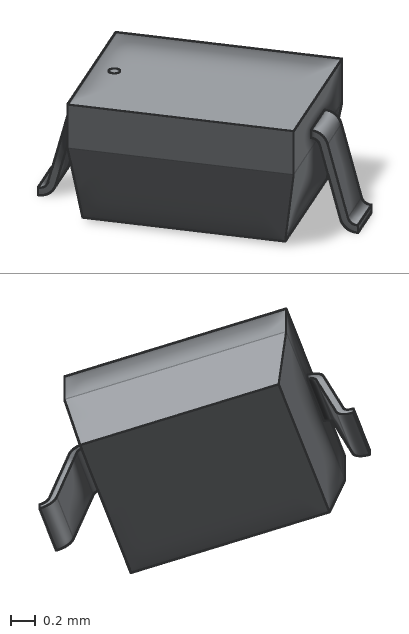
import cadquery as cq
import math

overall_length = 2.69
overall_height = 1.09

housing_length = 1.902
housing_width = 1.45
standoff = 0.048
parting_height = 0.702
taper_inset = 0.1

lead_width = 0.412
lead_thickness = 0.067
lead_top = 0.865
inner_bend_radius = 0.078
outer_bend_radius = inner_bend_radius + lead_thickness
lead_tilt = math.radians(15)

mark_diameter = 0.095
mark_depth = 0.013
mark_edge_distance = 0.19
mark_x = -housing_length / 2 + mark_edge_distance


def make_mark():
    return (
        cq.Workplane("XY", origin=(mark_x, 0, overall_height - mark_depth))
        .circle(mark_diameter / 2)
        .extrude(mark_depth)
    )


def make_housing():
    upper = (
        cq.Workplane("XY", origin=(0, 0, parting_height))
        .rect(housing_length, housing_width)
        .extrude(overall_height - parting_height)
    )
    lower = (
        cq.Workplane("XY", origin=(0, 0, standoff))
        .rect(housing_length - 2 * taper_inset, housing_width - 2 * taper_inset)
        .workplane(offset=parting_height - standoff)
        .rect(housing_length, housing_width)
        .loft(ruled=True)
    )
    return upper.union(lower).cut(make_mark())


def arc_point(center, radius, angle):
    return (center[0] + radius * math.cos(angle), center[1] + radius * math.sin(angle))


def make_lead(turn):
    """Build the lead on the -X end and turn it about Z by the given degrees."""
    tip_x = -overall_length / 2
    wall_x = -housing_length / 2

    shoulder_center = (wall_x, lead_top - outer_bend_radius)
    foot_z = outer_bend_radius
    bend_radius_sum = inner_bend_radius + outer_bend_radius
    leg_rise = shoulder_center[1] - foot_z + bend_radius_sum * math.sin(lead_tilt)
    leg_run = leg_rise * math.tan(lead_tilt)
    foot_x = wall_x - bend_radius_sum * math.cos(lead_tilt) - leg_run
    foot_center = (foot_x, foot_z)

    down = -math.pi / 2
    foot_end = -lead_tilt
    foot_mid = (down + foot_end) / 2
    up = math.pi / 2
    shoulder_start = math.pi - lead_tilt
    shoulder_mid = (up + shoulder_start) / 2

    profile = (
        cq.Workplane("XZ")
        .moveTo(tip_x, 0)
        .lineTo(foot_x, 0)
        .threePointArc(
            arc_point(foot_center, outer_bend_radius, foot_mid),
            arc_point(foot_center, outer_bend_radius, foot_end),
        )
        .lineTo(*arc_point(shoulder_center, inner_bend_radius, shoulder_start))
        .threePointArc(
            arc_point(shoulder_center, inner_bend_radius, shoulder_mid),
            arc_point(shoulder_center, inner_bend_radius, up),
        )
        .lineTo(wall_x, lead_top)
        .threePointArc(
            arc_point(shoulder_center, outer_bend_radius, shoulder_mid),
            arc_point(shoulder_center, outer_bend_radius, shoulder_start),
        )
        .lineTo(*arc_point(foot_center, inner_bend_radius, foot_end))
        .threePointArc(
            arc_point(foot_center, inner_bend_radius, foot_mid),
            arc_point(foot_center, inner_bend_radius, down),
        )
        .lineTo(tip_x, lead_thickness)
        .close()
    )
    lead = profile.extrude(lead_width / 2, both=True)
    return lead.rotate((0, 0, 0), (0, 0, 1), turn)


housing = make_housing()
mark = make_mark()
leads = [make_lead(turn) for turn in (0, 180)]

result = cq.Compound.makeCompound([housing.val(), mark.val(), *[lead.val() for lead in leads]])